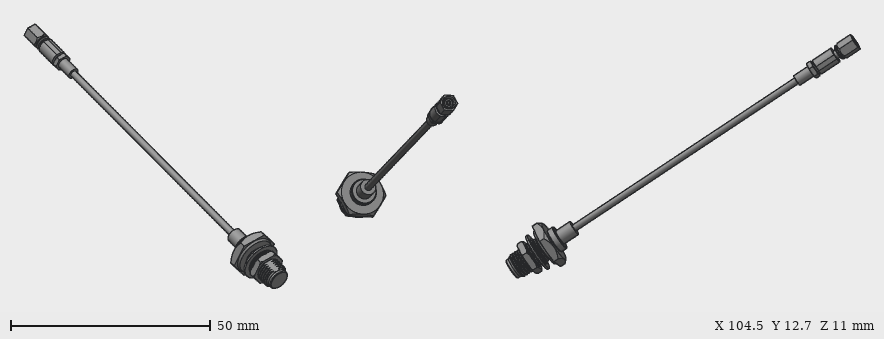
import cadquery as cq
import math


PLUG_AF = 4.0

COUPLING_HEX_END = 4.6
COUPLING_HEX_FACE_R = 1.7
COUPLING_LENGTH = 5.2
COUPLING_RIM_CHAMFER = 0.3
COUPLING_BORE_R = 1.4
COUPLING_MOUTH_CHAMFER = 0.3
COUPLING_BORE_DEPTH = 3.1

NECK_R = 1.1
PLUG_NOSE_R = 1.0
PLUG_NOSE_BORE_R = 0.6
PLUG_PIN_R = 0.3
PLUG_NOSE_START = 0.2
BARREL_START = 6.1
BARREL_END = 11.6
BARREL_R = 2.1
PLUG_HEX_START = 12.1
PLUG_HEX_END = 13.4
PLUG_HEX_CHAMFER_R = 2.1
PLUG_FERRULE_R = 1.5
PLUG_FERRULE_END = 17.8

CABLE_R = 0.89

LENGTH = 104.5
JACK_FERRULE_START = 85.5
JACK_FERRULE_R = 2.0
COLLAR_START = 89.8
COLLAR_R = 3.2
COLLAR_CHAMFER = 0.2
FLANGE_START = 91.7
FLANGE_END = 94.0
FLANGE_AF = 11.0
FLANGE_FACE_R = 5.4
SHOULDER_R = 5.2
SHOULDER_END = 94.6
SHOULDER_TIP_R = 4.9
THREAD_RIDGES = 12
THREAD_R = 3.2
THREAD_ROOT_R = 2.8
THREAD_LEAD_R = 3.0
THREAD_PITCH = 0.71
THREAD_CREST_WIDTH = 0.2
THREAD_END = SHOULDER_END + THREAD_RIDGES * THREAD_PITCH
THREAD_FLAT_HEIGHT = 2.7
TIP_START = 103.7
TIP_R = 2.7
TIP_CHAMFER = 0.2

WASHER_R = 5.0
WASHER_START = 96.4
WASHER_END = 96.9
HUB_R = 3.8
HUB_OVERHANG = 0.3

JAM_AF = 8.0
JAM_START = 98.2
JAM_END = 99.9
JAM_FACE_R = 4.3


def rod(radius, start, end):
    return cq.Workplane("YZ").workplane(offset=start).circle(radius).extrude(end - start)


def hexagon(across_flats, start, end):
    """Hexagonal prism along X with flats facing up and down."""
    across_corners = across_flats / math.cos(math.pi / 6)
    return cq.Workplane("YZ").workplane(offset=start).polygon(6, across_corners).extrude(end - start)


def turned(points):
    """Solid turned about the X axis from (x, radius) points."""
    return cq.Workplane("XY").polyline(points).close().revolve(360, (0, 0, 0), (1, 0, 0))


def chamfer_both_ends(prism, face_r, start, end):
    """Trim the corners of a prism to 45 degree cones at its two ends."""
    middle_r = face_r + (end - start) / 2
    outline = [(start, 0), (start, face_r), ((start + end) / 2, middle_r), (end, face_r), (end, 0)]
    return prism.intersect(turned(outline))


def chamfer_one_end(prism, face_r, trimmed_end, plain_end):
    """Trim the corners of a prism to a 45 degree cone at one end."""
    plain_r = face_r + abs(plain_end - trimmed_end)
    outline = [(trimmed_end, 0), (trimmed_end, face_r), (plain_end, plain_r), (plain_end, 0)]
    return prism.intersect(turned(outline))


def make_coupling_nut():
    hex_part = hexagon(PLUG_AF, 0, COUPLING_HEX_END)
    hex_part = chamfer_one_end(hex_part, COUPLING_HEX_FACE_R, COUPLING_HEX_END, 0)
    rim = rod(PLUG_AF / 2, COUPLING_HEX_END, COUPLING_LENGTH)
    rim = rim.faces(">X").chamfer(COUPLING_RIM_CHAMFER)
    nut = hex_part.union(rim)
    nut = nut.cut(rod(COUPLING_BORE_R, 0, COUPLING_BORE_DEPTH))
    mouth_r = COUPLING_BORE_R + COUPLING_MOUTH_CHAMFER
    nut = nut.cut(turned([(0, 0), (0, mouth_r), (mouth_r, 0)]))
    return nut.cut(rod(NECK_R, COUPLING_BORE_DEPTH, COUPLING_LENGTH))


def make_plug_body():
    nose = rod(PLUG_NOSE_R, PLUG_NOSE_START, COUPLING_BORE_DEPTH)
    nose = nose.cut(rod(PLUG_NOSE_BORE_R, PLUG_NOSE_START, COUPLING_BORE_DEPTH))
    pin = rod(PLUG_PIN_R, PLUG_NOSE_START, COUPLING_BORE_DEPTH)
    neck = rod(NECK_R, COUPLING_BORE_DEPTH, PLUG_HEX_START)
    between_flats = cq.Workplane("XY").box(2 * BARREL_END, 2 * BARREL_R, PLUG_AF)
    barrel = rod(BARREL_R, BARREL_START, BARREL_END).intersect(between_flats)
    hex_part = hexagon(PLUG_AF, PLUG_HEX_START, PLUG_HEX_END)
    hex_part = chamfer_both_ends(hex_part, PLUG_HEX_CHAMFER_R, PLUG_HEX_START, PLUG_HEX_END)
    ferrule = rod(PLUG_FERRULE_R, PLUG_HEX_END, PLUG_FERRULE_END)
    return nose.union(neck).union(pin).union(barrel).union(hex_part).union(ferrule)


def make_cable():
    return rod(CABLE_R, PLUG_FERRULE_END, JACK_FERRULE_START)


def make_thread():
    """Ridged stem with a flat along its top."""
    points = [(SHOULDER_END, 0), (SHOULDER_END, THREAD_ROOT_R)]
    for ridge in range(THREAD_RIDGES):
        start = SHOULDER_END + ridge * THREAD_PITCH
        crest = start + THREAD_PITCH / 2
        points.append((crest - THREAD_CREST_WIDTH / 2, THREAD_R))
        points.append((crest + THREAD_CREST_WIDTH / 2, THREAD_R))
        points.append((start + THREAD_PITCH, THREAD_ROOT_R))
    points += [
        (THREAD_END, THREAD_LEAD_R),
        (TIP_START, TIP_R),
        (LENGTH - TIP_CHAMFER, TIP_R),
        (LENGTH, TIP_R - TIP_CHAMFER),
        (LENGTH, 0),
    ]
    stem_length = LENGTH - SHOULDER_END
    above_flat = cq.Workplane("XY").box(
        stem_length, 2 * THREAD_R, THREAD_R, centered=(False, True, False)
    ).translate((SHOULDER_END, 0, THREAD_FLAT_HEIGHT))
    return turned(points).cut(above_flat)


def make_jack_body():
    ferrule = rod(JACK_FERRULE_R, JACK_FERRULE_START, COLLAR_START)
    collar = rod(COLLAR_R, COLLAR_START, FLANGE_START).faces("<X or >X").chamfer(COLLAR_CHAMFER)
    flange = hexagon(FLANGE_AF, FLANGE_START, FLANGE_END)
    flange = chamfer_one_end(flange, FLANGE_FACE_R, FLANGE_START, FLANGE_END)
    shoulder = turned(
        [(FLANGE_END, 0), (FLANGE_END, SHOULDER_R), (SHOULDER_END, SHOULDER_TIP_R), (SHOULDER_END, 0)]
    )
    return ferrule.union(collar).union(flange).union(shoulder).union(make_thread())


def make_washer():
    hub_start = WASHER_START - HUB_OVERHANG
    hub_end = WASHER_END + HUB_OVERHANG
    disc = rod(WASHER_R, WASHER_START, WASHER_END)
    return disc.union(rod(HUB_R, hub_start, hub_end)).cut(rod(THREAD_R, hub_start, hub_end))


def make_jam_nut():
    nut = chamfer_both_ends(hexagon(JAM_AF, JAM_START, JAM_END), JAM_FACE_R, JAM_START, JAM_END)
    return nut.cut(rod(THREAD_R, JAM_START, JAM_END))


coupling_nut = make_coupling_nut()
plug_body = make_plug_body()
cable = make_cable()
jack_body = make_jack_body()
washer = make_washer()
jam_nut = make_jam_nut()

result = cq.Compound.makeCompound(
    [
        coupling_nut.val(),
        plug_body.val(),
        cable.val(),
        jack_body.val(),
        washer.val(),
        jam_nut.val(),
    ]
)